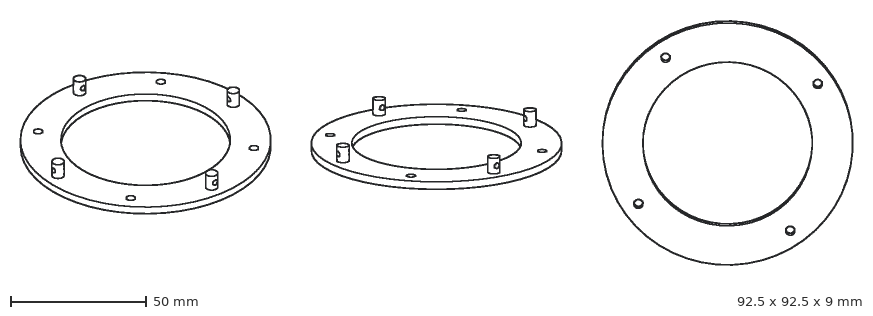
import cadquery as cq

ring_diameter = 92.5
bore_diameter = 62.5
ring_thickness = 3.0

total_height = 9.0
pin_height = total_height - ring_thickness
pin_circle_radius = 40.5
pin_count = 4
pin_diameter = 4.5
cross_hole_diameter = 2.0
angle_step = 360 / pin_count

mounting_hole_diameter = 3.3
mounting_hole_centers = [
    (28.7, 28.5),
    (-28.3, 28.4),
    (-28.4, -28.3),
    (28.7, -28.5),
]


def make_ring():
    """Flat ring with mounting holes between the pins."""
    ring = cq.Workplane("XY").circle(ring_diameter / 2).circle(bore_diameter / 2).extrude(ring_thickness)
    holes = (
        cq.Workplane("XY")
        .pushPoints(mounting_hole_centers)
        .circle(mounting_hole_diameter / 2)
        .extrude(ring_thickness)
    )
    return ring.cut(holes)


def make_pin():
    """Pin on the +X axis with a radial cross hole at mid-height."""
    pin = (
        cq.Workplane("XY", origin=(pin_circle_radius, 0, ring_thickness))
        .circle(pin_diameter / 2)
        .extrude(pin_height)
    )
    cross_hole = (
        cq.Workplane("YZ", origin=(pin_circle_radius, 0, ring_thickness + pin_height / 2))
        .circle(cross_hole_diameter / 2)
        .extrude(pin_diameter, both=True)
    )
    return pin.cut(cross_hole)


result = make_ring()
for index in range(pin_count):
    result = result.union(make_pin().rotate((0, 0, 0), (0, 0, 1), index * angle_step))